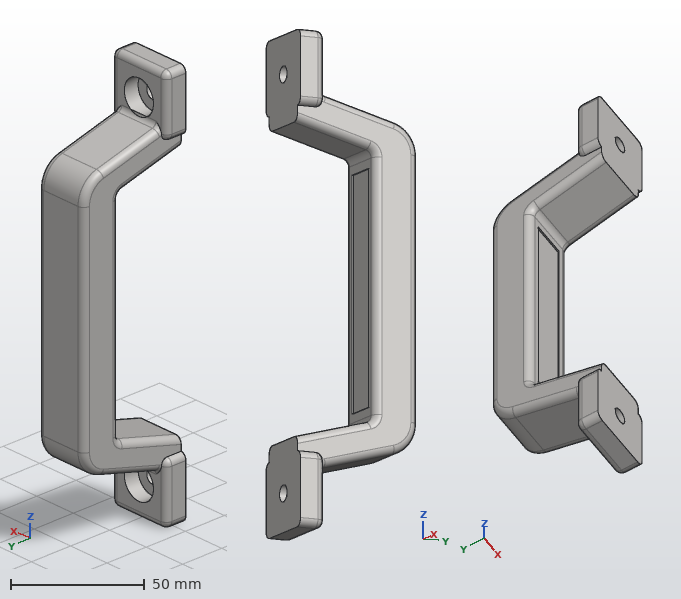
import cadquery as cq
import math

LENGTH = 190.0
DEPTH = 50.0

PAD_WIDTH = 30.0
PAD_HEIGHT = 29.0
PAD_THICKNESS = 10.0
HOLE_DIAMETER = 6.5
COUNTERBORE_DIAMETER = 16.0
COUNTERBORE_DEPTH = 7.0
HOLE_INSET = 15.0

BAR_WIDTH = 24.9
GRIP_THICKNESS = 18.0
LEG_THICKNESS = 13.7
LEG_ANGLE = math.radians(15)
LEG_FOOT_INSET = 35.0
OUTER_BEND_RADIUS = 12.7
INNER_BEND_RADIUS = 3.0

EDGE_RADIUS = 3.0
PAD_BACK_RADIUS = 2.8
JOINT_RADIUS = 2.5

LABEL_WIDTH = 14.0
LABEL_LENGTH = 91.2
LABEL_DEPTH = 0.5

LEG_SLOPE = math.tan(LEG_ANGLE)
INNER_FOOT_Z = LENGTH / 2 - LEG_FOOT_INSET
OUTER_FOOT_Z = INNER_FOOT_Z + LEG_THICKNESS / math.cos(LEG_ANGLE)
GRIP_INNER_Y = DEPTH - GRIP_THICKNESS

STUB_TOP_Z = LENGTH / 2 - HOLE_INSET
SELECT_MARGIN = 0.2


def inner_face_z(y):
    return INNER_FOOT_Z - y * LEG_SLOPE


def outer_face_z(y):
    return OUTER_FOOT_Z - y * LEG_SLOPE


def edges_at_depth(y):
    """Selector for the edges lying at depth y."""
    low = (-BAR_WIDTH, y - SELECT_MARGIN, -LENGTH)
    high = (BAR_WIDTH, y + SELECT_MARGIN, LENGTH)
    return cq.selectors.BoxSelector(low, high)


def make_bar():
    """Grip and both legs, ending in stubs that blend the legs into the pads."""
    upper_outer = [
        (0, STUB_TOP_Z),
        (PAD_THICKNESS, STUB_TOP_Z),
        (PAD_THICKNESS, outer_face_z(PAD_THICKNESS)),
        (DEPTH, outer_face_z(DEPTH)),
    ]
    upper_inner = [(GRIP_INNER_Y, inner_face_z(GRIP_INNER_Y)), (0, INNER_FOOT_Z)]
    lower_outer = [(y, -z) for y, z in reversed(upper_outer)]
    lower_inner = [(y, -z) for y, z in reversed(upper_inner)]
    outline = upper_outer + lower_outer + lower_inner + upper_inner

    bar = cq.Workplane("YZ").polyline(outline).close().extrude(BAR_WIDTH / 2, both=True)
    bar = bar.edges("|X").edges(edges_at_depth(DEPTH)).fillet(OUTER_BEND_RADIUS)
    bar = bar.edges("|X").edges(edges_at_depth(GRIP_INNER_Y)).fillet(INNER_BEND_RADIUS)
    bar = bar.edges("|X and (not(>Z or <Z))").edges(edges_at_depth(PAD_THICKNESS)).fillet(JOINT_RADIUS)
    return bar.faces("<X or >X").edges("not(<Y or >Z or <Z)").fillet(EDGE_RADIUS)


def make_label_recess():
    """Shallow rectangular recess in the inner face of the grip."""
    recess = cq.Workplane("XY").box(LABEL_WIDTH, LABEL_DEPTH, LABEL_LENGTH)
    return recess.translate((0, GRIP_INNER_Y + LABEL_DEPTH / 2, 0))


def make_pad(side):
    """Mounting pad at the top (side = 1) or bottom (side = -1) end."""
    pad = cq.Workplane("XY").box(PAD_WIDTH, PAD_THICKNESS, PAD_HEIGHT)
    pad = pad.edges("|Y").fillet(EDGE_RADIUS)
    pad = pad.faces(">Y").edges().fillet(PAD_BACK_RADIUS)
    return pad.translate((0, PAD_THICKNESS / 2, side * (LENGTH - PAD_HEIGHT) / 2))


def make_screw_hole(side):
    """Screw hole through a pad, counterbored from the back."""
    hole = cq.Workplane("XZ").circle(HOLE_DIAMETER / 2).extrude(-PAD_THICKNESS)
    counterbore = (
        cq.Workplane("XZ", origin=(0, PAD_THICKNESS, 0))
        .circle(COUNTERBORE_DIAMETER / 2)
        .extrude(COUNTERBORE_DEPTH)
    )
    return hole.union(counterbore).translate((0, 0, side * (LENGTH / 2 - HOLE_INSET)))


result = make_bar().cut(make_label_recess())
for side in (1, -1):
    result = result.union(make_pad(side)).cut(make_screw_hole(side))